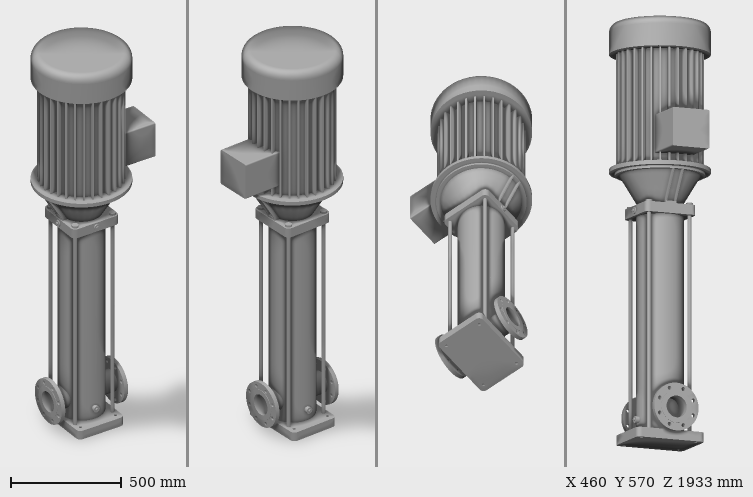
import cadquery as cq
import math


base_height = 45
head_bottom = 1041
head_top = 1088
bracket_top = 1232
flange_bottom = 1244
flange_top = 1263
cowl_bottom = 1790
total_height = 1933

base_length = 334
base_width = 248
corner_radius = 23
anchor_hole_diameter = 14
anchor_spacing_x = 270
anchor_spacing_y = 190

column_diameter = 216
rod_diameter = 18
rod_spacing = 201
nut_diameter = 32
nut_height = 10
head_width = 250

port_height = 140
port_reach = 182
pipe_diameter = 108
bore_diameter = 100
port_flange_diameter = 220
port_flange_thickness = 20
raised_face_diameter = 150
raised_face_height = 2
bolt_hole_diameter = 18
bolt_circle_diameter = 180
bolt_count = 8

plug_diameter = 32
plug_thickness = 6
plug_pin_diameter = 14
plug_pin_length = 6
drain_plug_height = 102
drain_plug_face = 126
drain_boss_diameter = 30
drain_boss_face = 114

bracket_bottom_radius = 97
bracket_top_radius = 184
rib_pair_width = 52
rib_bottom_reach = 122
rib_foot_height = 10
rib_thickness = 6

motor_diameter = 460
spigot_diameter = 410
motor_core_diameter = 340
fin_tip_radius = 200
fin_thickness = 8
fin_count = 30
first_fin_angle = 90
cowl_edge_radius = 38
box_width = 182
box_height = 178
box_bottom = 1306
box_face = 340
box_edge_radius = 6


def disc(diameter, bottom, top):
    """Upright cylinder on the pump axis between two heights."""
    return cq.Workplane("XY").workplane(offset=bottom).circle(diameter / 2).extrude(top - bottom)


def rounded_plate(length, width, bottom, top):
    """Rectangular plate with rounded vertical corners."""
    plate = cq.Workplane("XY").workplane(offset=bottom).rect(length, width).extrude(top - bottom)
    return plate.edges("|Z").fillet(corner_radius)


def rod_points(bottom):
    """Workplane at the given height with a point on every tie rod axis."""
    plane = cq.Workplane("XY").workplane(offset=bottom)
    return plane.rect(rod_spacing, rod_spacing, forConstruction=True).vertices()


def cylinder_along(start, direction, diameter, length):
    """Cylinder from a start point in a given direction."""
    solid = cq.Solid.makeCylinder(diameter / 2, length, cq.Vector(*start), cq.Vector(*direction))
    return cq.Workplane(solid)


def make_base():
    """Base plate with four anchor holes."""
    holes = (
        cq.Workplane("XY")
        .rect(anchor_spacing_x, anchor_spacing_y, forConstruction=True)
        .vertices()
        .circle(anchor_hole_diameter / 2)
        .extrude(base_height)
    )
    return rounded_plate(base_length, base_width, 0, base_height).cut(holes)


def make_port(side):
    """Flanged port on the -Y (side = -1) or +Y (side = 1) side, hollow up to the column surface."""
    outward = (0, side, 0)

    def section(diameter, inner, outer):
        return cylinder_along((0, side * inner, port_height), outward, diameter, outer - inner)

    flange_face = port_reach - raised_face_height
    flange_back = flange_face - port_flange_thickness
    port = section(pipe_diameter, 0, port_reach)
    port = port.union(section(port_flange_diameter, flange_back, flange_face))
    port = port.union(section(raised_face_diameter, flange_face, port_reach))
    port = port.cut(section(bore_diameter, 0, port_reach))
    for i in range(bolt_count):
        angle = 2 * math.pi * (i + 0.5) / bolt_count
        x = bolt_circle_diameter / 2 * math.cos(angle)
        z = port_height + bolt_circle_diameter / 2 * math.sin(angle)
        start = (x, side * flange_back, z)
        port = port.cut(cylinder_along(start, outward, bolt_hole_diameter, port_reach - flange_back))
    return port


def make_plug(direction, height, root, face):
    """Screw plug whose round head runs from root to face (distances from the axis), with a pin on the face."""
    dx, dy = direction
    head = cylinder_along((dx * root, dy * root, height), (dx, dy, 0), plug_diameter, face - root)
    pin_start = (dx * face, dy * face, height)
    return head.union(cylinder_along(pin_start, (dx, dy, 0), plug_pin_diameter, plug_pin_length))


def make_pump():
    """Base, ports, column, head plate, tie rods and screw plugs."""
    pump = make_base()
    for side in (-1, 1):
        pump = pump.union(make_port(side))
    pump = pump.union(disc(column_diameter, base_height, head_bottom))
    pump = pump.union(rounded_plate(head_width, head_width, head_bottom, head_top))
    rods = rod_points(base_height).circle(rod_diameter / 2).extrude(head_bottom - base_height)
    nuts = rod_points(head_top).circle(nut_diameter / 2).extrude(nut_height)
    pump = pump.union(rods).union(nuts)
    for dx in (-1, 1):
        boss = cylinder_along((0, 0, drain_plug_height), (dx, 0, 0), drain_boss_diameter, drain_boss_face)
        pump = pump.union(boss)
        pump = pump.union(make_plug((dx, 0), drain_plug_height, drain_boss_face, drain_plug_face))
    head_middle = (head_bottom + head_top) / 2
    head_side = head_width / 2
    for direction in ((1, 0), (0, -1)):
        pump = pump.union(make_plug(direction, head_middle, head_side, head_side + plug_thickness))
    return pump


def make_bracket():
    """Conical motor bracket with a pair of ribs joined by a low foot on the -Y and +Y sides."""
    cone = cq.Workplane(
        cq.Solid.makeCone(
            bracket_bottom_radius, bracket_top_radius, bracket_top - head_top, cq.Vector(0, 0, head_top)
        )
    )
    rib_top_reach = spigot_diameter / 2
    rib_foot_top = head_top + rib_foot_height
    rib = (
        cq.Workplane("YZ")
        .moveTo(0, head_top)
        .lineTo(rib_bottom_reach, head_top)
        .lineTo(rib_bottom_reach, rib_foot_top)
        .lineTo(rib_top_reach, bracket_top)
        .lineTo(0, bracket_top)
        .close()
        .extrude(rib_thickness)
    )
    foot = (
        cq.Workplane("XY")
        .box(rib_pair_width, rib_bottom_reach, rib_foot_height, centered=(True, False, False))
        .translate((0, 0, head_top))
    )
    outer_face = rib_pair_width / 2
    rib_pair = foot
    for rib_start in (-outer_face, outer_face - rib_thickness):
        rib_pair = rib_pair.union(rib.translate((rib_start, 0, 0)))
    return cone.union(rib_pair).union(rib_pair.mirror("XZ"))


def make_fins():
    """Straight cooling fins spaced evenly round the motor, one of them on the +Y side."""
    return (
        cq.Workplane("XY")
        .workplane(offset=flange_top)
        .polarArray(fin_tip_radius / 2, first_fin_angle, 360, fin_count)
        .rect(fin_tip_radius, fin_thickness)
        .extrude(cowl_bottom - flange_top)
    )


def make_terminal_box():
    """Box on the +Y side, reaching in to the motor axis."""
    box = (
        cq.Workplane("XY")
        .box(box_width, box_face, box_height, centered=(True, False, False))
        .edges("|Y")
        .fillet(box_edge_radius)
    )
    return box.translate((0, 0, box_bottom))


def make_motor():
    """Mounting flange, finned body, fan cowl and terminal box."""
    motor = disc(spigot_diameter, bracket_top, flange_bottom)
    motor = motor.union(disc(motor_diameter, flange_bottom, flange_top))
    core = disc(motor_core_diameter, flange_top, cowl_bottom)
    motor = motor.union(core.union(make_fins()))
    cowl = disc(motor_diameter, cowl_bottom, total_height).faces(">Z").edges().fillet(cowl_edge_radius)
    return motor.union(cowl).union(make_terminal_box())


result = make_pump().union(make_bracket()).union(make_motor())